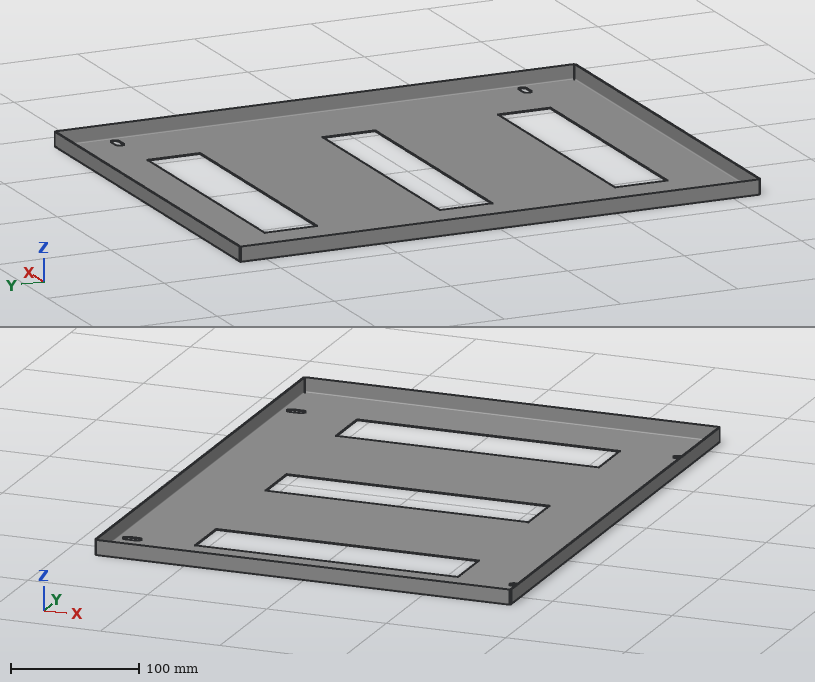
import cadquery as cq

width = 349.0
length = 446.5
height = 13.0
sheet = 1.0
bend_inner_radius = 1.0
bend_outer_radius = bend_inner_radius + sheet
corner_notch = 1.5

window_width = 220.0
window_depth = 45.0
window_pitch = 150.0
window_count = 3

slot_length = 15.5
slot_width = 7.0
slot_spacing_x = 323.8
slot_spacing_y = 349.2


def rounded_block(size_x, size_y, bottom_z, radius):
    """Block up to the tray rim, with its lower edges rounded by the bend radius."""
    block_height = height - bottom_z
    block = cq.Workplane("XY", origin=(0, 0, bottom_z)).rect(size_x, size_y).extrude(block_height)
    return block.faces("<Z").edges().fillet(radius)


def folded_tray():
    """Floor with four upturned flanges and open square notches at the corners."""
    outer = rounded_block(width, length, 0, bend_outer_radius)
    inner = rounded_block(width - 2 * sheet, length - 2 * sheet, sheet, bend_inner_radius)
    notches = (
        cq.Workplane("XY")
        .rect(width - corner_notch, length - corner_notch, forConstruction=True)
        .vertices()
        .rect(corner_notch, corner_notch)
        .extrude(height)
    )
    return outer.cut(inner).cut(notches)


def windows():
    return (
        cq.Workplane("XY")
        .rarray(4.5, window_pitch, 1, window_count)
        .rect(window_width, window_depth)
        .extrude(height)
    )


def mounting_slots():
    return (
        cq.Workplane("XY")
        .rarray(slot_spacing_x, slot_spacing_y, 2, 2)
        .slot2D(slot_length, slot_width)
        .extrude(height)
    )


result = folded_tray().cut(windows()).cut(mounting_slots())